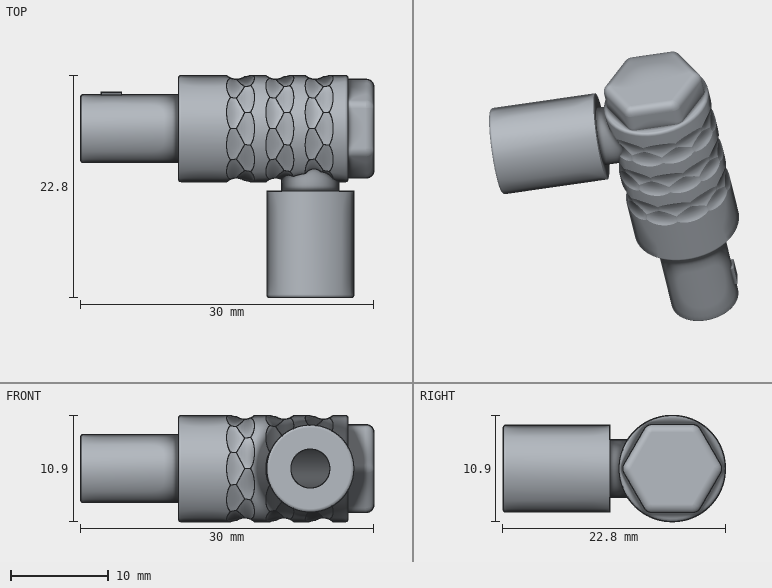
import cadquery as cq
import math


total_length = 30.0
nose_length = 10.0
nose_diameter = 7.0
nose_bore_diameter = 4.8
nose_bore_depth = 8.4

key_start = 2.1
key_length = 2.1
key_width = 1.5
key_height = 0.25

pin_diameter = 0.7
pin_length = 3.6
pin_pitch = 1.75

body_diameter = 10.9
body_radius = body_diameter / 2
body_end = 27.35
cavity_diameter = nose_bore_diameter
cavity_length = 9.0

dimples_per_ring = 10
dimple_step = 360 / dimples_per_ring
dimple_radius = 1.5
dimple_depth = 0.4
ring_pair_count = 3
ring_pair_pitch = 4.02
first_ring_x = 15.93
ring_spacing = 0.85

nut_sides = 6
nut_across_flats = 9.0
nut_corner_radius = 0.9
nut_end_radius = 0.8

total_depth = 22.75
arm_x = 23.5
arm_diameter = 8.9
arm_start = 6.4
arm_end = total_depth - body_radius
arm_bore_diameter = 4.0
neck_diameter = 5.9

rim_radius = 0.3


def x_cylinder(start, length, diameter):
    """Cylinder along the plug axis."""
    return cq.Workplane("YZ", origin=(start, 0, 0)).circle(diameter / 2).extrude(length)


def arm_cylinder(start, end, diameter):
    """Cylinder along the arm axis; start and end are distances from the plug axis toward -Y."""
    return cq.Workplane("XZ", origin=(arm_x, -start, 0)).circle(diameter / 2).extrude(end - start)


def make_nose():
    overlap = rim_radius
    nose = x_cylinder(0, nose_length + overlap, nose_diameter).faces("<X").edges().fillet(rim_radius)
    key_top = nose_diameter / 2 + key_height
    key = cq.Workplane("XY").box(key_length, key_top, key_width, centered=(False, False, True))
    return nose.union(key.translate((key_start, 0, 0)))


def make_pin(y, z):
    """Contact pin with a domed tip facing -X."""
    radius = pin_diameter / 2
    dome_x = nose_bore_depth - pin_length + radius
    shank = x_cylinder(dome_x, pin_length, pin_diameter)
    tip = cq.Workplane("XY").sphere(radius).translate((dome_x, 0, 0))
    return shank.union(tip).translate((0, y, z))


def make_dimple_ring(x, start_angle):
    """Cutters spaced evenly around the plug axis; angles are measured from +Y."""
    cutter_distance = body_radius - dimple_depth + dimple_radius
    cutter_length = body_radius
    cutter = (
        cq.Workplane("XY", origin=(x, cutter_distance, -cutter_length / 2))
        .circle(dimple_radius)
        .extrude(cutter_length)
    )
    return [
        cutter.rotate((0, 0, 0), (1, 0, 0), start_angle + i * dimple_step)
        for i in range(dimples_per_ring)
    ]


def make_body():
    body = x_cylinder(nose_length, body_end - nose_length, body_diameter)
    body = body.faces("<X or >X").edges().fillet(rim_radius)
    for pair in range(ring_pair_count):
        ring_x = first_ring_x + pair * ring_pair_pitch
        cutters = make_dimple_ring(ring_x, 0)
        cutters += make_dimple_ring(ring_x + ring_spacing, dimple_step / 2)
        for cutter in cutters:
            body = body.cut(cutter)
    return body


def make_nut():
    """Hexagon with flats on top and bottom and corners toward +Y and -Y."""
    across_corners = nut_across_flats / math.cos(math.pi / nut_sides)
    nut = cq.Workplane("YZ", origin=(body_end, 0, 0)).polygon(nut_sides, across_corners)
    nut = nut.extrude(total_length - body_end)
    nut = nut.edges("|X").fillet(nut_corner_radius)
    return nut.faces(">X").edges().fillet(nut_end_radius)


def make_arm():
    sleeve = arm_cylinder(arm_start, arm_end, arm_diameter).faces("<Y").edges().fillet(rim_radius)
    neck = arm_cylinder(0, arm_start, neck_diameter)
    return sleeve.union(neck)


result = make_body().union(make_nose()).union(make_nut()).union(make_arm())

result = result.cut(x_cylinder(0, nose_bore_depth, nose_bore_diameter))
result = result.cut(x_cylinder(arm_x - cavity_length / 2, cavity_length, cavity_diameter))
result = result.cut(arm_cylinder(0, arm_end, arm_bore_diameter))

for pin_y in (-pin_pitch / 2, pin_pitch / 2):
    for pin_z in (-pin_pitch / 2, pin_pitch / 2):
        result = result.union(make_pin(pin_y, pin_z))